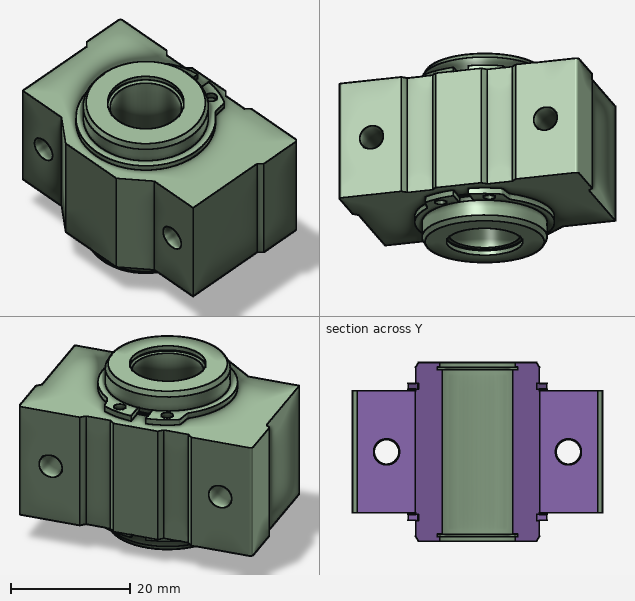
import cadquery as cq
import math


BEARING_DIAMETER = 21.0
BEARING_LENGTH = 30.0
SHAFT_BORE = 12.0
END_LIP_DIAMETER = 12.8
END_LIP_LENGTH = 0.8
END_RECESS_DIAMETER = 13.6
END_RECESS_DEPTH = 1.2
END_FACE_DIAMETER = 20.0
END_CHAMFER_LENGTH = 0.85
GROOVE_DIAMETER = 20.0

RING_OUTER_FACE = 11.5
RING_THICKNESS = 1.0
RING_INNER_FACE = RING_OUTER_FACE - RING_THICKNESS
RING_DIAMETER = 23.45
LUG_RADIUS = 13.7
LUG_ROOT_X = 7.2
LUG_TIP_X = 6.8
LUG_TIP_RADIUS = 0.5
LUG_ROOT_RADIUS = 1.0
RING_GAP = 2.6
PLIER_HOLE_DIAMETER = 2.0
PLIER_HOLE_X = 4.25
PLIER_HOLE_Y = 11.25

HOUSING_LENGTH = 20.5
WIDTH = 42.0
BASE_Y = 15.0
NOSE_Y = -13.0
SHOULDER_Y = -9.0
NOSE_HALF_WIDTH = 6.0
NOSE_ROOT_HALF_WIDTH = 11.0
SIDE_STEP_Y = 7.0
SIDE_STEP = 0.8
BASE_CORNER_RADIUS = 0.5
NOTCH_DEPTH = 0.8
NOTCH_INNER_X = 4.0
NOTCH_OUTER_X = 10.0
CLEARANCE_HOLE_DIAMETER = 4.3
TAPPED_HOLE_DIAMETER = 4.13
TAPPED_HOLE_DEPTH = 12.0
MOUNT_HOLE_SPACING = 30.5


def cylinder(diameter, bottom, top):
    return cq.Workplane("XY").workplane(offset=bottom).circle(diameter / 2).extrude(top - bottom)


def mirrored_outline(right_half):
    """Close an outline from its right half, mirrored about the Y axis."""
    left_half = [(-x, y) for x, y in reversed(right_half)]
    return cq.Workplane("XY").polyline(right_half + left_half).close()


def fillet_edges_at(body, x, y, radius):
    """Round the two edges parallel to Z that pass through (-x, y) and (x, y)."""
    for corner_x in (-x, x):
        corner = cq.selectors.NearestToPointSelector((corner_x, y, body.val().Center().z))
        body = body.edges("|Z").edges(corner).fillet(radius)
    return body


def mount_holes(diameter, start_y, end_y):
    return (
        cq.Workplane("XZ", origin=(0, end_y, 0))
        .pushPoints([(-MOUNT_HOLE_SPACING / 2, 0), (MOUNT_HOLE_SPACING / 2, 0)])
        .circle(diameter / 2)
        .extrude(end_y - start_y)
    )


def make_housing():
    half_width = WIDTH / 2
    body_half_width = half_width - SIDE_STEP
    notch_floor_y = BASE_Y - NOTCH_DEPTH
    right_half = [
        (NOSE_HALF_WIDTH, NOSE_Y),
        (NOSE_ROOT_HALF_WIDTH, SHOULDER_Y),
        (body_half_width, SHOULDER_Y),
        (body_half_width, SIDE_STEP_Y - SIDE_STEP),
        (half_width, SIDE_STEP_Y),
        (half_width, BASE_Y),
        (NOTCH_OUTER_X, BASE_Y),
        (NOTCH_OUTER_X - NOTCH_DEPTH, notch_floor_y),
        (NOTCH_INNER_X + NOTCH_DEPTH, notch_floor_y),
        (NOTCH_INNER_X, BASE_Y),
    ]
    block = mirrored_outline(right_half).extrude(HOUSING_LENGTH / 2, both=True)
    block = fillet_edges_at(block, half_width, BASE_Y, BASE_CORNER_RADIUS)
    bearing_bore = cylinder(BEARING_DIAMETER, -HOUSING_LENGTH / 2, HOUSING_LENGTH / 2)
    tap_bottom_y = BASE_Y - TAPPED_HOLE_DEPTH
    tapped_holes = mount_holes(TAPPED_HOLE_DIAMETER, tap_bottom_y, BASE_Y)
    clearance_holes = mount_holes(CLEARANCE_HOLE_DIAMETER, SHOULDER_Y, tap_bottom_y)
    return block.cut(bearing_bore).cut(tapped_holes).cut(clearance_holes)


def make_bearing():
    """Turned sleeve with a ring groove and an undercut recess at each end."""
    half_length = BEARING_LENGTH / 2
    bore_radius = SHAFT_BORE / 2
    recess_radius = END_RECESS_DIAMETER / 2
    lip_radius = END_LIP_DIAMETER / 2
    outer_radius = BEARING_DIAMETER / 2
    groove_radius = GROOVE_DIAMETER / 2
    lip_z = half_length - END_LIP_LENGTH
    recess_z = half_length - END_RECESS_DEPTH
    upper_half = [
        (bore_radius, 0),
        (bore_radius, recess_z),
        (recess_radius, recess_z),
        (recess_radius, lip_z),
        (lip_radius, lip_z),
        (lip_radius, half_length),
        (END_FACE_DIAMETER / 2, half_length),
        (outer_radius, half_length - END_CHAMFER_LENGTH),
        (outer_radius, RING_OUTER_FACE),
        (groove_radius, RING_OUTER_FACE),
        (groove_radius, RING_INNER_FACE),
        (outer_radius, RING_INNER_FACE),
        (outer_radius, 0),
    ]
    upper = cq.Workplane("XZ").polyline(upper_half).close().revolve(360, (0, 0, 0), (0, 1, 0))
    return upper.union(upper.mirror("XY"))


def make_retaining_ring(bottom):
    """Open ring whose two lugs, split by the gap, point toward +Y."""
    top = bottom + RING_THICKNESS
    lug_root_y = math.sqrt((RING_DIAMETER / 2) ** 2 - LUG_ROOT_X ** 2)
    lug_tip_y = math.sqrt(LUG_RADIUS ** 2 - LUG_TIP_X ** 2)
    lugs = (
        cq.Workplane("XY", origin=(0, 0, bottom))
        .moveTo(LUG_ROOT_X, lug_root_y)
        .lineTo(LUG_TIP_X, lug_tip_y)
        .threePointArc((0, LUG_RADIUS), (-LUG_TIP_X, lug_tip_y))
        .lineTo(-LUG_ROOT_X, lug_root_y)
        .close()
        .extrude(RING_THICKNESS)
    )
    lugs = fillet_edges_at(lugs, LUG_TIP_X, lug_tip_y, LUG_TIP_RADIUS)
    ring = cylinder(RING_DIAMETER, bottom, top).union(lugs)
    ring = fillet_edges_at(ring, LUG_ROOT_X, lug_root_y, LUG_ROOT_RADIUS)
    gap = (
        cq.Workplane("XY", origin=(0, LUG_RADIUS / 2, bottom))
        .rect(RING_GAP, LUG_RADIUS)
        .extrude(RING_THICKNESS)
    )
    plier_holes = (
        cq.Workplane("XY", origin=(0, 0, bottom))
        .pushPoints([(-PLIER_HOLE_X, PLIER_HOLE_Y), (PLIER_HOLE_X, PLIER_HOLE_Y)])
        .circle(PLIER_HOLE_DIAMETER / 2)
        .extrude(RING_THICKNESS)
    )
    return ring.cut(cylinder(GROOVE_DIAMETER, bottom, top)).cut(gap).cut(plier_holes)


housing = make_housing()
bearing = make_bearing()
rings = [make_retaining_ring(bottom) for bottom in (RING_INNER_FACE, -RING_OUTER_FACE)]

result = cq.Compound.makeCompound([housing.val(), bearing.val(), *[ring.val() for ring in rings]])